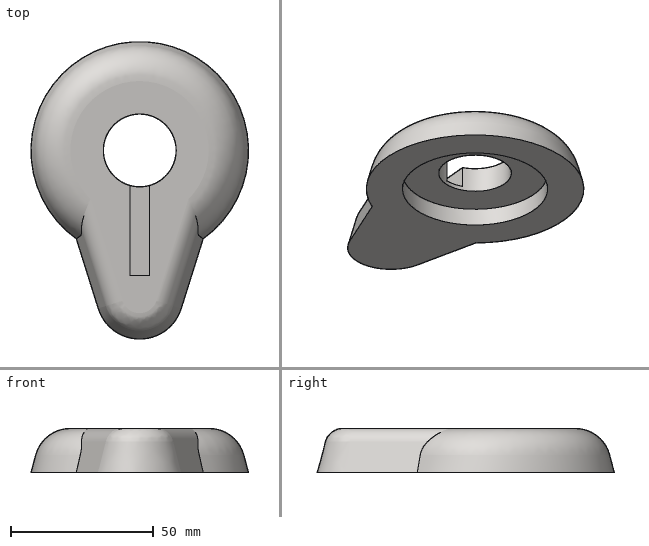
import cadquery as cq
import math

INCH = 25.4

height = 0.61 * INCH
draft_angle = 15.0

body_radius = 1.5 * INCH
body_fillet = 0.5 * INCH

arm_length = 2.0 * INCH
arm_root_radius = 1.2 * INCH
arm_tip_radius = 0.6 * INCH
arm_fillet = 0.25 * INCH

bore_radius = 0.5 * INCH
slot_width = 6.7
slot_end = 43.7
slot_depth = 0.3 * INCH
recess_radius = 1.0 * INCH
recess_depth = 0.25 * INCH


def make_body():
    """Drafted disc with a large rounded top edge."""
    disc = cq.Workplane("XY").circle(body_radius).extrude(height, taper=draft_angle)
    return disc.faces(">Z").edges().fillet(body_fillet)


def make_arm():
    """Drafted teardrop: two circles joined by their common tangent lines."""
    side_angle = math.asin((arm_root_radius - arm_tip_radius) / arm_length)
    normal_x = math.cos(side_angle)
    normal_y = -math.sin(side_angle)

    root_x = arm_root_radius * normal_x
    root_y = arm_root_radius * normal_y
    tip_x = arm_tip_radius * normal_x
    tip_y = arm_tip_radius * normal_y - arm_length

    teardrop = (
        cq.Workplane("XY")
        .moveTo(root_x, root_y)
        .threePointArc((0, arm_root_radius), (-root_x, root_y))
        .lineTo(-tip_x, tip_y)
        .threePointArc((0, -arm_length - arm_tip_radius), (tip_x, tip_y))
        .close()
        .extrude(height, taper=draft_angle)
    )
    return teardrop.faces(">Z").edges().fillet(arm_fillet)


def make_bore():
    """Round hole through the full height."""
    return cq.Workplane("XY").circle(bore_radius).extrude(height)


def make_recess():
    """Round recess in the underside, concentric with the bore."""
    return cq.Workplane("XY").circle(recess_radius).extrude(recess_depth)


def make_slot():
    """Blind slot in the top face, running from the bore along the arm."""
    return (
        cq.Workplane("XY")
        .workplane(offset=height - slot_depth)
        .center(0, -slot_end / 2)
        .rect(slot_width, slot_end)
        .extrude(slot_depth)
    )


result = (
    make_body()
    .union(make_arm())
    .cut(make_bore())
    .cut(make_recess())
    .cut(make_slot())
)